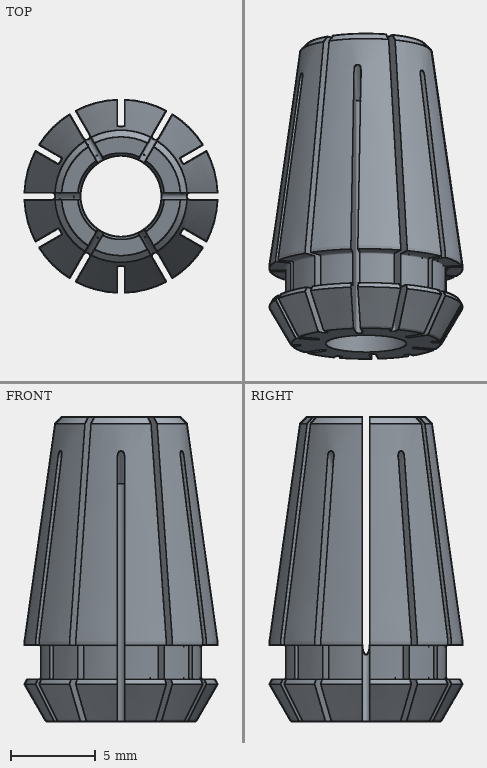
import cadquery as cq
import math

height = 18.0
width_across_slots = 11.43
slot_width = 0.41
max_radius = math.hypot(width_across_slots / 2, slot_width / 2)
taper_angle = math.radians(8)
flange_angle = math.radians(30)

bottom_chamfer = 0.1
flange_edge_z = 2.21
flange_top_z = 2.5
groove_top_z = 4.52
taper_start_z = 4.72
top_chamfer = 0.4
taper_end_z = height - top_chamfer

groove_radius = 4.75
groove_fillet = 0.09

bore_radius = 4.77 / 2
mouth_radius = 2.55
mouth_depth = 1.44

slots_per_set = 6
slot_pitch = 360 / slots_per_set
cutter_reach = max_radius + 0.9

top_slot_bore_z = 3.96
top_slot_bottom_radius = 3.89

bottom_slot_radius = 3.0
ramp_start_z = 14.04
ramp_angle = math.radians(30)


def turned_blank():
    """Solid of revolution: nut flange, groove and long taper."""
    bottom_radius = max_radius - (flange_edge_z - bottom_chamfer) * math.tan(flange_angle)
    flange_top_radius = max_radius - (flange_top_z - flange_edge_z) * math.tan(flange_angle)
    taper_end_radius = max_radius - (taper_end_z - taper_start_z) * math.tan(taper_angle)
    return (
        cq.Workplane("XZ")
        .lineTo(bottom_radius - bottom_chamfer, 0)
        .lineTo(bottom_radius, bottom_chamfer)
        .lineTo(max_radius, flange_edge_z)
        .lineTo(flange_top_radius, flange_top_z)
        .lineTo(groove_radius + groove_fillet, flange_top_z)
        .radiusArc((groove_radius, flange_top_z + groove_fillet), groove_fillet)
        .lineTo(groove_radius, groove_top_z - groove_fillet)
        .radiusArc((groove_radius + groove_fillet, groove_top_z), groove_fillet)
        .lineTo(max_radius, groove_top_z)
        .lineTo(max_radius, taper_start_z)
        .lineTo(taper_end_radius, taper_end_z)
        .lineTo(taper_end_radius - top_chamfer, height)
        .lineTo(0, height)
        .close()
        .revolve(360, (0, 0), (0, 1))
    )


def bore():
    """Straight bore whose mouth flares along an arc tangent to the bore wall."""
    return (
        cq.Workplane("XZ")
        .lineTo(bore_radius, 0)
        .lineTo(bore_radius, height - mouth_depth)
        .tangentArcPoint((mouth_radius, height), relative=False)
        .lineTo(0, height)
        .close()
        .revolve(360, (0, 0), (0, 1))
    )


def slot_section(plane, floor_radius):
    """Radial slot section with a half-round floor, drawn on a horizontal plane."""
    half_width = slot_width / 2
    return (
        plane.moveTo(cutter_reach, -half_width)
        .lineTo(floor_radius + half_width, -half_width)
        .threePointArc((floor_radius, 0), (floor_radius + half_width, half_width))
        .lineTo(cutter_reach, half_width)
        .close()
    )


def upright_slot(start_z, end_z, floor_radius):
    """Slot between two levels with a floor parallel to the axis."""
    plane = cq.Workplane("XY", origin=(0, 0, start_z))
    return slot_section(plane, floor_radius).extrude(end_z - start_z)


def sloped_slot(start_z, end_z, start_radius, end_radius):
    """Slot between two levels whose floor radius changes evenly with height."""
    lower = slot_section(cq.Workplane("XY", origin=(0, 0, start_z)), start_radius)
    upper = slot_section(lower.workplane(offset=end_z - start_z), end_radius)
    return upper.loft(ruled=True)


def top_slot():
    """Slot through the wall from the top, running out along a sloped floor to the bottom."""
    floor_slope = (top_slot_bottom_radius - bore_radius) / top_slot_bore_z
    axis_z = top_slot_bottom_radius / floor_slope
    run_out = sloped_slot(0, axis_z, top_slot_bottom_radius, 0)
    return run_out.union(upright_slot(axis_z, height, 0))


def bottom_slot():
    """Slot from the bottom that keeps a web at the bore and ramps out through the taper."""
    ramp_end_radius = bottom_slot_radius + (height - ramp_start_z) * math.tan(ramp_angle)
    ramp = sloped_slot(ramp_start_z, height, bottom_slot_radius, ramp_end_radius)
    return ramp.union(upright_slot(0, ramp_start_z, bottom_slot_radius))


result = turned_blank().cut(bore())
for index in range(slots_per_set):
    angle = index * slot_pitch
    result = result.cut(top_slot().rotate((0, 0, 0), (0, 0, 1), angle))
    result = result.cut(bottom_slot().rotate((0, 0, 0), (0, 0, 1), angle + slot_pitch / 2))